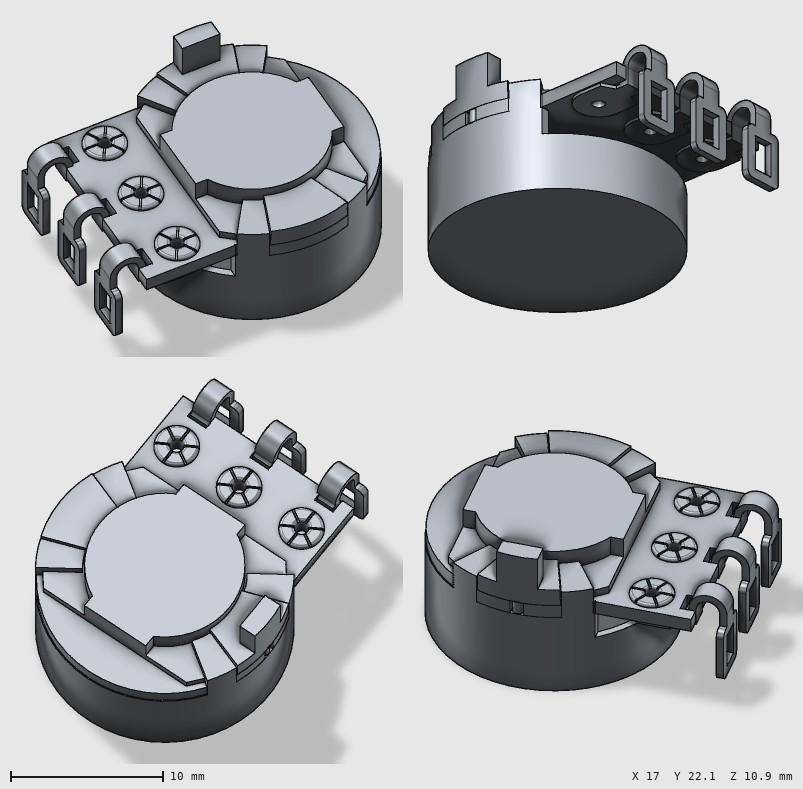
import cadquery as cq
import math

case_radius = 17.0 / 2
case_inner_radius = 16.0 / 2
wall = case_radius - case_inner_radius
case_height = 6.1
window_z = 4.1
tab_start_angle = 20.0
tab_end_angle = 34.5
tab_tip_radius = 5.41
tab_thickness = 0.55
peg_diameter = 0.8
peg_x = -8.05

board_radius = 8.42
board_thickness = 1.0
board_half_width = 6.95
board_front_y = -11.5
peg_notch_width = 0.9
slot_width = 1.5
slot_back_y = -10.45
left_slot_shift = -0.18

plate_thickness = 0.55
plate_half_depth = 5.5
plate_front_half_width = 5.81
corner_slope = 1.21
sector_half_angle = 19.5
sector_thickness = 0.75
knob_diameter = 10.52
knob_height = 1.44
bar_width = 5.0
post_inner_x = -7.14
post_width = 2.8
total_height = 10.9

terminal_pitch = 5.08
rivet_y = -8.25
rivet_diameter = 3.0
rivet_hole_diameter = 0.9
rivet_shank_diameter = 2.0
rivet_height = 0.25
rivet_rounding = 0.2
groove_count = 6
groove_width = 0.13
groove_depth = 0.13
flange_width = 3.5
flange_front_y = -10.48
flange_shoulder_y = -10.0
flange_thickness = 0.25
strip_width = 1.48
strip_thickness = 0.5
heel_radius = 0.25
overall_depth = 22.1
terminal_front_y = case_radius - overall_depth
eyelet_width = 2.98
eyelet_bottom_z = 2.12
eyelet_corner_radius = 0.49
eyelet_window_height = 2.5
eyelet_window_bottom_z = 2.85

board_top_z = case_height + board_thickness
plate_top_z = board_top_z + plate_thickness
tab_top_z = plate_top_z + tab_thickness
sector_top_z = plate_top_z + sector_thickness
window_y = -math.sqrt(case_radius**2 - board_half_width**2)
tab_span = tab_end_angle - tab_start_angle
terminal_places = (-terminal_pitch, 0, terminal_pitch)
tab_angles = [side + sign * (tab_start_angle + tab_end_angle) / 2 for side in (0, 180) for sign in (1, -1)]


def disc(radius, bottom_z, height):
    return cq.Workplane("XY").workplane(offset=bottom_z).circle(radius).extrude(height)


def ring_sector(inner_radius, outer_radius, mid_angle, span, bottom_z, top_z):
    """Part of a ring, spanning the given angle on both sides of mid_angle."""
    def point(radius, angle):
        return (radius * math.cos(math.radians(angle)), radius * math.sin(math.radians(angle)))

    start = mid_angle - span / 2
    end = mid_angle + span / 2
    return (
        cq.Workplane("XY").workplane(offset=bottom_z)
        .moveTo(*point(inner_radius, start))
        .lineTo(*point(outer_radius, start))
        .threePointArc(point(outer_radius, mid_angle), point(outer_radius, end))
        .lineTo(*point(inner_radius, end))
        .threePointArc(point(inner_radius, mid_angle), point(inner_radius, start))
        .close()
        .extrude(top_z - bottom_z)
    )


def block(x_range, y_range, z_range):
    return cq.Workplane("XY").box(
        x_range[1] - x_range[0], y_range[1] - y_range[0], z_range[1] - z_range[0], centered=False
    ).translate((x_range[0], y_range[0], z_range[0]))


def wedge(mid_angle, span, bottom_z, top_z):
    """Pie slice around the Z axis with a straight outer side, reaching past the case."""
    reach = 2 * case_radius
    half_width = reach * math.tan(math.radians(span / 2))
    outline = [(0, 0), (reach, -half_width), (reach, half_width)]
    base = cq.Workplane("XY").workplane(offset=bottom_z).polyline(outline).close()
    return base.extrude(top_z - bottom_z).rotate((0, 0, 0), (0, 0, 1), mid_angle)


def make_case():
    case = (
        cq.Workplane("XZ")
        .moveTo(0, 0)
        .lineTo(case_radius, 0)
        .lineTo(case_radius, tab_top_z)
        .lineTo(tab_tip_radius, tab_top_z)
        .lineTo(tab_tip_radius, plate_top_z)
        .lineTo(case_inner_radius, plate_top_z)
        .lineTo(case_inner_radius, wall)
        .lineTo(0, wall)
        .close()
        .revolve(360, (0, 0, 0), (0, 1, 0))
    )

    for angle in (0, 180):
        case = case.cut(wedge(angle, 2 * tab_start_angle, case_height, tab_top_z))
        case = case.cut(wedge(angle + 90, 180 - 2 * tab_end_angle, case_height, tab_top_z))

    window = block((-case_radius, case_radius), (-case_radius, window_y), (window_z, case_height))
    case = case.cut(window)

    peg = disc(peg_diameter / 2, case_height - wall, board_thickness + wall).translate((peg_x, 0, 0))
    return case.union(peg)


def make_terminal(x):
    half_strip = strip_width / 2

    flange_z = case_height - flange_thickness
    half_flange = flange_width / 2
    shoulder_y = flange_shoulder_y - rivet_y
    neck_y = flange_front_y - rivet_y
    flange = (
        cq.Workplane("XY").workplane(offset=flange_z)
        .moveTo(half_flange, 0)
        .threePointArc((0, half_flange), (-half_flange, 0))
        .lineTo(-half_flange, shoulder_y)
        .lineTo(-half_strip, neck_y)
        .lineTo(half_strip, neck_y)
        .lineTo(half_flange, shoulder_y)
        .close()
        .extrude(flange_thickness)
    )
    shank = disc(rivet_shank_diameter / 2, case_height, board_thickness)
    head = disc(rivet_diameter / 2, board_top_z, rivet_height)
    bore = disc(rivet_hole_diameter / 2, flange_z, total_height)
    head = head.cut(bore).faces(">Z").edges().fillet(rivet_rounding)
    for index in range(groove_count // 2):
        groove = cq.Workplane("XY").box(groove_width, rivet_diameter, groove_depth)
        groove = groove.translate((0, 0, board_top_z + rivet_height - groove_depth / 2))
        head = head.cut(groove.rotate((0, 0, 0), (0, 0, 1), index * 360 / groove_count))
    rivet = flange.union(shank).cut(bore).union(head).translate((0, rivet_y, 0))

    leg_back_y = board_front_y + strip_thickness
    hook_center_y = (leg_back_y + terminal_front_y) / 2
    hook_outer_radius = leg_back_y - hook_center_y
    hook_inner_radius = hook_outer_radius - strip_thickness
    hook_back_y = terminal_front_y + strip_thickness
    heel_y = leg_back_y + heel_radius
    heel_z = board_top_z - heel_radius
    heel_arc_mid = heel_radius * math.sqrt(0.5)
    strip = (
        cq.Workplane("YZ").workplane(offset=-half_strip)
        .moveTo(flange_shoulder_y, flange_z)
        .lineTo(board_front_y, flange_z)
        .lineTo(board_front_y, board_top_z)
        .threePointArc((hook_center_y, board_top_z + hook_inner_radius), (hook_back_y, board_top_z))
        .lineTo(hook_back_y, case_height)
        .lineTo(terminal_front_y, case_height)
        .lineTo(terminal_front_y, board_top_z)
        .threePointArc((hook_center_y, board_top_z + hook_outer_radius), (leg_back_y, board_top_z))
        .threePointArc((heel_y - heel_arc_mid, board_top_z - heel_arc_mid), (heel_y, heel_z))
        .lineTo(heel_y, case_height)
        .lineTo(flange_shoulder_y, case_height)
        .close()
        .extrude(strip_width)
    )

    eyelet = block(
        (-eyelet_width / 2, eyelet_width / 2), (terminal_front_y, hook_back_y), (eyelet_bottom_z, case_height)
    ).edges("|Y").fillet(eyelet_corner_radius)
    eyelet_window = block(
        (-half_strip, half_strip),
        (terminal_front_y, hook_back_y),
        (eyelet_window_bottom_z, eyelet_window_bottom_z + eyelet_window_height),
    )
    return rivet.union(strip).union(eyelet.cut(eyelet_window)).translate((x, 0, 0))


def make_board(terminals):
    """Board fitted around the finished terminals."""
    board_z = (case_height, board_top_z)
    board = disc(board_radius, case_height, board_thickness)
    board = board.union(block((-board_half_width, board_half_width), (board_front_y, window_y), board_z))

    for angle in (0, 180):
        lobe = ring_sector(case_inner_radius, case_radius, angle, 2 * tab_start_angle, *board_z)
        board = board.union(lobe)

    for angle in tab_angles:
        board = board.cut(ring_sector(case_inner_radius, case_radius + wall, angle, tab_span, *board_z))

    notch_radius = peg_notch_width / 2
    board = board.cut(disc(notch_radius, case_height, board_thickness).translate((peg_x, 0, 0)))
    board = board.cut(block((-case_radius, peg_x), (-notch_radius, notch_radius), board_z))

    for x in terminal_places:
        center = x + left_slot_shift if x < 0 else x
        slot_x = (center - slot_width / 2, center + slot_width / 2)
        board = board.cut(block(slot_x, (board_front_y, slot_back_y), board_z))

    for x in terminal_places:
        hole = disc(rivet_shank_diameter / 2, case_height, board_thickness)
        board = board.cut(hole.translate((x, rivet_y, 0)))

    for terminal in terminals:
        board = board.cut(terminal)
    return board


def make_rotor():
    corner_run_x = case_radius - plate_front_half_width
    side_half_depth = plate_half_depth - corner_run_x * corner_slope
    quarter = [(case_radius, side_half_depth), (plate_front_half_width, plate_half_depth)]
    outline = quarter + [(-x, y) for x, y in reversed(quarter)]
    outline += [(-x, -y) for x, y in outline]
    base = cq.Workplane("XY").workplane(offset=board_top_z).polyline(outline).close()
    plate = base.extrude(plate_thickness)
    rotor = plate.intersect(disc(case_radius, board_top_z, plate_thickness))
    for angle in tab_angles:
        upright_room = ring_sector(
            case_inner_radius, case_radius + wall, angle, tab_span, board_top_z, plate_top_z
        )
        rotor = rotor.cut(upright_room)

    for angle in (0, 180):
        sector = ring_sector(
            bar_width / 2, case_radius, angle, 2 * sector_half_angle, board_top_z, sector_top_z
        )
        rotor = rotor.union(sector)

    knob = disc(knob_diameter / 2, plate_top_z, knob_height)
    bar = block(
        (-bar_width / 2, bar_width / 2),
        (-plate_half_depth, plate_half_depth),
        (plate_top_z, plate_top_z + knob_height),
    )
    rotor = rotor.union(knob).union(bar)

    post_z = (board_top_z, total_height)
    post = block((-case_radius, post_inner_x), (-post_width / 2, post_width / 2), post_z)
    post = post.intersect(disc(case_radius, board_top_z, total_height - board_top_z))
    return rotor.union(post)


case = make_case()
terminals = [make_terminal(x) for x in terminal_places]
board = make_board(terminals)
rotor = make_rotor()

result = cq.Compound.makeCompound(
    [case.val(), board.val(), rotor.val(), *[terminal.val() for terminal in terminals]]
)